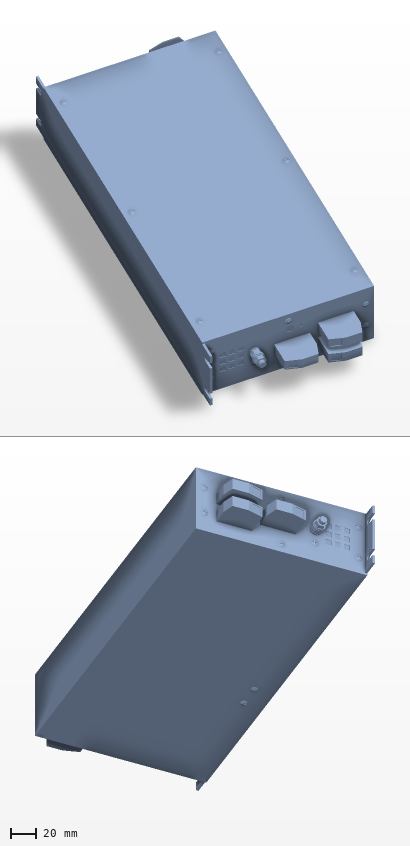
import cadquery as cq

BOX_X = 306.0
BOX_Y = 150.0
BOX_Z = 60.5
HALF_X = BOX_X / 2

EAR_SPAN = 335.5
EAR_Z = 56.5
EAR_THICK = 2.0
EAR_SLOT_WIDTH = 6.0
EAR_SLOT_DEPTH = 10.5
EAR_SLOT_Z = 17.7

SCREW_DIA = 6.5
SCREW_RISE = 1.0
SCREW_SLOT_WIDTH = 0.5
SCREW_SLOT_DEPTH = 0.7
EDGE_SCREW_Y = 67.5
LID_SCREW_X = 131.0
BACK_SCREW_Z = 12.5
FRONT_SCREW_Z = 15.2
MIDDLE_SCREW_Z = 22.5
BOTTOM_SCREW_X = (23.5, 43.5)
BOTTOM_SCREW_Y = -57.5

OVERALL_X = 354.0
CONNECTOR_REACH = (OVERALL_X - BOX_X) / 2
CONNECTOR_WIDTH = 31.0
CONNECTOR_HEIGHT = 10.0
OUTER_CONNECTOR_Y = 41.6
INNER_CONNECTOR_Y = 3.35
CONNECTOR_MID_Z = -4.2
CONNECTOR_Z_STEP = 8.5
BACK_TAPER_REACH = 10.5
BACK_TAPER_DROP = 3.2
NOSE_TAPER_REACH = 4.0
NOSE_TAPER_LENGTH = 13.8
WINDOW_WIDTH = 8.5
WINDOW_HEIGHT = 7.5
WINDOW_SHIFT = 0.7
WINDOW_DEPTH = 0.53

STUD_Y = -29.5
STUD_DIA = 6.0
STUD_REACH = 16.3
COLLAR_DIA = 9.2
COLLAR_THICK = 1.5
NUT_ACROSS_CORNERS = 9.5
NUT_THICK = 4.0
SMALL_WASHER_DIA = 10.0
LARGE_WASHER_DIA = 10.5
WASHER_THICK = 1.25
EARTH_SCREW_Z = -12.5

RECESS_DEPTH = 0.5
INDICATOR_Z = 12.7
SMALL_INDICATOR_Y = 11.5
SMALL_INDICATOR_DIA = 3.0
LARGE_INDICATOR_Y = 1.8
LARGE_INDICATOR_DIA = 7.0
VENT_SIZE = 5.0
VENT_PITCH = 8.0
VENT_Y = -49.2
VENT_ROWS = 3


def end_plane(y, z, reach=0.0):
    """Plane on the -X end panel, normal pointing outward; local x runs along -Y, local y along Z."""
    return cq.Plane(origin=(-HALF_X - reach, y, z), xDir=(0, -1, 0), normal=(-1, 0, 0))


def screw(plane, slot_angles=(0,)):
    """Domed screw head standing on a plane, with one driver slot for each angle."""
    radius = SCREW_DIA / 2
    dome_profile = (
        cq.Workplane("XZ")
        .lineTo(radius, 0)
        .radiusArc((0, SCREW_RISE), -(radius**2 + SCREW_RISE**2) / (2 * SCREW_RISE))
        .close()
    )
    head = dome_profile.revolve(360, (0, 0), (0, 1))
    slot = cq.Workplane(origin=(0, 0, SCREW_RISE)).box(SCREW_DIA, SCREW_SLOT_WIDTH, 2 * SCREW_SLOT_DEPTH)
    for angle in slot_angles:
        head = head.cut(slot.rotate((0, 0, 0), (0, 0, 1), angle))
    return head.val().moved(plane.location)


def enclosure():
    """Box with a slotted ear at each end of its -Y face."""
    body = cq.Workplane().box(BOX_X, BOX_Y, BOX_Z)
    ear_plate = cq.Workplane().box(EAR_SPAN, EAR_THICK, EAR_Z)
    ear_plate = ear_plate.translate((0, (EAR_THICK - BOX_Y) / 2, 0))
    slots = (
        cq.Workplane("XZ")
        .rarray(EAR_SPAN, 2 * EAR_SLOT_Z, 2, 2)
        .slot2D(2 * EAR_SLOT_DEPTH, EAR_SLOT_WIDTH)
        .extrude(BOX_Y, both=True)
    )
    return body.union(ear_plate.cut(slots))


def connector(y, z):
    """Plug housing with a tapered back edge, a tapered nose and a contact window in the nose."""
    back = CONNECTOR_WIDTH / 2
    outline = [
        (0, back),
        (CONNECTOR_REACH - BACK_TAPER_REACH, back),
        (CONNECTOR_REACH, back - BACK_TAPER_DROP),
        (CONNECTOR_REACH, NOSE_TAPER_LENGTH - back),
        (CONNECTOR_REACH - NOSE_TAPER_REACH, -back),
        (0, -back),
    ]
    housing_plane = cq.Plane(origin=(-HALF_X, y, z), xDir=(-1, 0, 0), normal=(0, 0, -1))
    housing = cq.Workplane(housing_plane).polyline(outline).close().extrude(CONNECTOR_HEIGHT / 2, both=True)
    nose_plane = cq.Plane(
        origin=(-HALF_X - CONNECTOR_REACH + NOSE_TAPER_REACH / 2, y - back + NOSE_TAPER_LENGTH / 2, z),
        xDir=(NOSE_TAPER_REACH, -NOSE_TAPER_LENGTH, 0),
        normal=(-NOSE_TAPER_LENGTH, -NOSE_TAPER_REACH, 0),
    )
    window = (
        cq.Workplane(nose_plane)
        .center(WINDOW_SHIFT, 0)
        .rect(WINDOW_WIDTH, WINDOW_HEIGHT)
        .extrude(-WINDOW_DEPTH)
    )
    return housing.cut(window)


def earth_stud():
    """Threaded stud with its collar and the stack of nuts and washers threaded onto it."""
    stud = cq.Workplane(end_plane(STUD_Y, 0)).circle(STUD_DIA / 2).extrude(STUD_REACH)
    collar = cq.Workplane(end_plane(STUD_Y, 0)).circle(COLLAR_DIA / 2).extrude(COLLAR_THICK)
    stud = stud.union(collar)
    washers_start = COLLAR_THICK + NUT_THICK
    washer_dias = (SMALL_WASHER_DIA, LARGE_WASHER_DIA, SMALL_WASHER_DIA)
    for index, diameter in enumerate(washer_dias):
        plane = end_plane(STUD_Y, 0, washers_start + index * WASHER_THICK)
        stud = stud.union(cq.Workplane(plane).circle(diameter / 2).extrude(WASHER_THICK))
    washers_end = washers_start + len(washer_dias) * WASHER_THICK
    for nut_start in (COLLAR_THICK, washers_end):
        plane = end_plane(STUD_Y, 0, nut_start)
        stud = stud.union(cq.Workplane(plane).polygon(6, NUT_ACROSS_CORNERS).extrude(NUT_THICK))
    return stud


def end_panel_fittings():
    """Everything that stands proud of the -X end panel."""
    fittings = [earth_stud().val(), screw(end_plane(STUD_Y, EARTH_SCREW_Z), slot_angles=(0, 90))]
    for z in (CONNECTOR_MID_Z + CONNECTOR_Z_STEP, CONNECTOR_MID_Z - CONNECTOR_Z_STEP):
        fittings.append(connector(OUTER_CONNECTOR_Y, z).val())
    fittings.append(connector(INNER_CONNECTOR_Y, CONNECTOR_MID_Z).val())
    for y, z in ((EDGE_SCREW_Y, BACK_SCREW_Z), (0, MIDDLE_SCREW_Z), (-EDGE_SCREW_Y, FRONT_SCREW_Z)):
        fittings.append(screw(end_plane(y, z)))
        fittings.append(screw(end_plane(y, -z)))
    return fittings


def end_panel_recesses():
    """Cutters for the indicators and the vent windows of the -X end panel."""
    small = cq.Workplane(end_plane(SMALL_INDICATOR_Y, INDICATOR_Z)).circle(SMALL_INDICATOR_DIA / 2)
    large = cq.Workplane(end_plane(LARGE_INDICATOR_Y, INDICATOR_Z)).circle(LARGE_INDICATOR_DIA / 2)
    vents = (
        cq.Workplane(end_plane(VENT_Y, 0))
        .rarray(VENT_PITCH, VENT_PITCH, VENT_ROWS, VENT_ROWS)
        .rect(VENT_SIZE, VENT_SIZE)
    )
    return [sketch.extrude(-RECESS_DEPTH) for sketch in (small, large, vents)]


result = enclosure()

for recess in end_panel_recesses():
    result = result.cut(recess).cut(recess.mirror("YZ"))
for fitting in end_panel_fittings():
    result = result.union(cq.Workplane(fitting)).union(cq.Workplane(fitting.mirror("YZ")))

for x in (-LID_SCREW_X, 0, LID_SCREW_X):
    for y in (-EDGE_SCREW_Y, EDGE_SCREW_Y):
        lid_plane = cq.Plane((x, y, BOX_Z / 2), (0, 1, 0), (0, 0, 1))
        result = result.union(cq.Workplane(screw(lid_plane)))

for x in BOTTOM_SCREW_X:
    floor_plane = cq.Plane((x, BOTTOM_SCREW_Y, -BOX_Z / 2), (0, 1, 0), (0, 0, -1))
    result = result.union(cq.Workplane(screw(floor_plane)))